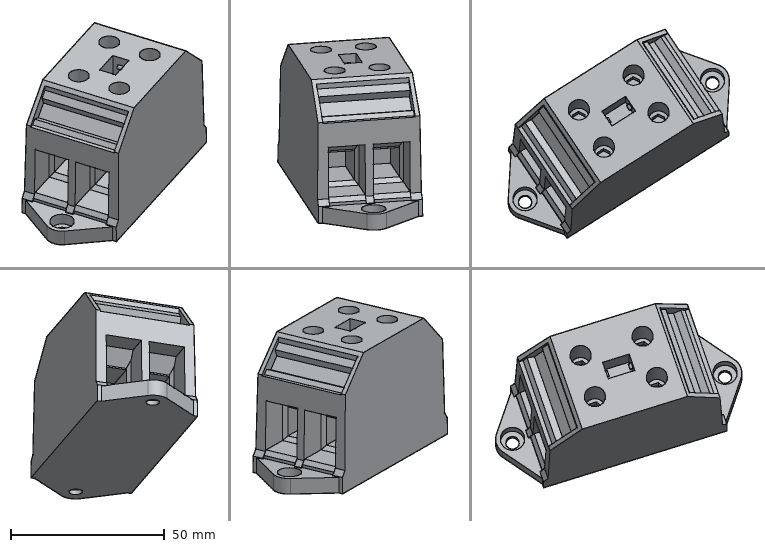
import cadquery as cq
import math

LENGTH = 83.7
WIDTH = 34.75
HEIGHT = 44.9

BASE_HEIGHT = 5.75
BASE_HALF_LENGTH = 31.4
TOP_WIDTH = 33.6
FOOT_HALF_LENGTH = 29.85
FOOT_TOP = 7.7
SHOULDER_HALF_LENGTH = 29.1
TOP_HALF_LENGTH = 18.0
BEVEL_RUN = SHOULDER_HALF_LENGTH - TOP_HALF_LENGTH
SHOULDER_HEIGHT = HEIGHT - BEVEL_RUN

EAR_HEIGHT = 5.5
EAR_RADIUS = 5.5
EAR_CENTER = LENGTH / 2 - EAR_RADIUS
EAR_ROOT_HALF_WIDTH = 16.0
EAR_HOLE_DIAMETER = 4.3
EAR_BORE_DIAMETER = 7.9
EAR_BORE_DEPTH = 3.9

TERMINAL_X = 7.45
SCREW_Y = 10.6
SCREW_HOLE_DIAMETER = 6.8
SCREW_HOLE_DEPTH = 12.0
HEX_ACROSS_FLATS = 4.1
HEX_SIDES = 6
HEX_DEPTH = 3.0

ENTRY_WIDTH = 12.2
ENTRY_TOP = 25.2
ENTRY_FLOOR = 8.05
FUNNEL_START = 19.6
FUNNEL_END = 17.9
FUNNEL_END_WIDTH = 10.1
FUNNEL_END_FLOOR = 9.35
FUNNEL_END_TOP = 19.95
CEILING_BREAK = 21.5
SILL_FACE = 30.65
SILL_BACK = 29.35
SILL_BEVEL_DROP = 1.5
WIRE_SIZE = 10.1
WIRE_END = 4.0

CHANNEL_WIDTH = 30.7
CHANNEL_TOP_Y = 19.2
CHANNEL_LEDGE_Z = 41.95
CHANNEL_LEDGE_RUN = 2.0
LEDGE_TO_LIP = 5.1
CHANNEL_WALL_LONG = 2.5
CHANNEL_WALL_SHORT = 1.0
CHANNEL_FLOOR_RUN = LEDGE_TO_LIP - CHANNEL_WALL_LONG + CHANNEL_WALL_SHORT
LIP_RUN = 1.4
CUT_MARGIN = 2.0

SLOT_WIDTH = 5.9
SLOT_LENGTH = 9.1
SLOT_DEPTH = 8.0
CATCH_RADIUS = 1.0
CATCH_WIDTH = 1.9
CATCH_UNDERSIDE_DEPTH = 4.0


def side_prism(points, width):
    """Extrude a closed (y, z) outline along X, centred on the YZ plane."""
    outline = cq.Workplane("YZ").polyline(points).close()
    return outline.extrude(width / 2, both=True)


def both_ends(feature):
    """Join a feature with its mirror image at the -Y end."""
    return feature.union(feature.mirror("XZ"))


def make_housing():
    """Bevelled block: the end profile along X, trimmed by the leaning sides."""
    plus_y_half = [
        (BASE_HALF_LENGTH, 0),
        (BASE_HALF_LENGTH, BASE_HEIGHT),
        (FOOT_HALF_LENGTH, FOOT_TOP),
        (SHOULDER_HALF_LENGTH, SHOULDER_HEIGHT),
        (TOP_HALF_LENGTH, HEIGHT),
    ]
    minus_y_half = [(-y, z) for y, z in reversed(plus_y_half)]
    block = side_prism(plus_y_half + minus_y_half, WIDTH)
    leaning_sides = (
        cq.Workplane("XZ")
        .polyline([
            (-WIDTH / 2, 0),
            (WIDTH / 2, 0),
            (TOP_WIDTH / 2, HEIGHT),
            (-TOP_WIDTH / 2, HEIGHT),
        ])
        .close()
        .extrude(LENGTH / 2, both=True)
    )
    return block.intersect(leaning_sides)


def make_ear():
    """Ear at the +Y end: straight flanks tangent to a round tip."""
    root_drop = EAR_CENTER - BASE_HALF_LENGTH
    root_distance = math.hypot(EAR_ROOT_HALF_WIDTH, root_drop)
    root_angle = math.atan2(root_drop, EAR_ROOT_HALF_WIDTH)
    tangent_angle = math.acos(EAR_RADIUS / root_distance) - root_angle
    tangent_x = EAR_RADIUS * math.cos(tangent_angle)
    tangent_y = EAR_CENTER + EAR_RADIUS * math.sin(tangent_angle)
    return (
        cq.Workplane("XY")
        .moveTo(-EAR_ROOT_HALF_WIDTH, 0)
        .lineTo(EAR_ROOT_HALF_WIDTH, 0)
        .lineTo(EAR_ROOT_HALF_WIDTH, BASE_HALF_LENGTH)
        .lineTo(tangent_x, tangent_y)
        .threePointArc((0, LENGTH / 2), (-tangent_x, tangent_y))
        .lineTo(-EAR_ROOT_HALF_WIDTH, BASE_HALF_LENGTH)
        .close()
        .extrude(EAR_HEIGHT)
    )


def make_ear_hole():
    """Counterbored mounting hole through the +Y ear."""
    hole = cq.Workplane("XY").circle(EAR_HOLE_DIAMETER / 2).extrude(EAR_HEIGHT)
    bore = (
        cq.Workplane("XY", origin=(0, 0, EAR_HEIGHT - EAR_BORE_DEPTH))
        .circle(EAR_BORE_DIAMETER / 2)
        .extrude(HEIGHT)
    )
    return hole.union(bore).translate((0, EAR_CENTER, 0))


def make_screw_hole(x_center):
    """Screw well in the top, with the hexagon socket of the screw in its floor."""
    floor = HEIGHT - SCREW_HOLE_DEPTH
    hex_corner_diameter = HEX_ACROSS_FLATS / math.cos(math.pi / HEX_SIDES)
    well = (
        cq.Workplane("XY", origin=(0, 0, floor))
        .circle(SCREW_HOLE_DIAMETER / 2)
        .extrude(SCREW_HOLE_DEPTH)
    )
    socket = (
        cq.Workplane("XY", origin=(0, 0, floor - HEX_DEPTH))
        .polygon(HEX_SIDES, hex_corner_diameter)
        .extrude(HEX_DEPTH)
        .rotate((0, 0, 0), (0, 0, 1), 90)
    )
    return well.union(socket).translate((x_center, SCREW_Y, 0))


def make_wire_entry(x_center):
    """Wire entry at the +Y end: sill, mouth, funnel and square hole."""
    ceiling_slope = (ENTRY_TOP - FUNNEL_END_TOP) / (CEILING_BREAK - FUNNEL_END)
    funnel_start_top = FUNNEL_END_TOP + ceiling_slope * (FUNNEL_START - FUNNEL_END)
    outside = BASE_HALF_LENGTH + CUT_MARGIN
    mouth = side_prism(
        [
            (FUNNEL_START, ENTRY_FLOOR),
            (SILL_BACK, ENTRY_FLOOR),
            (SILL_FACE, ENTRY_FLOOR - SILL_BEVEL_DROP),
            (SILL_FACE, EAR_HEIGHT),
            (outside, EAR_HEIGHT),
            (outside, ENTRY_TOP),
            (CEILING_BREAK, ENTRY_TOP),
            (FUNNEL_START, funnel_start_top),
        ],
        ENTRY_WIDTH,
    )
    start_height = funnel_start_top - ENTRY_FLOOR
    end_height = FUNNEL_END_TOP - FUNNEL_END_FLOOR
    start_middle = ENTRY_FLOOR + start_height / 2
    end_middle = FUNNEL_END_FLOOR + end_height / 2
    funnel = (
        cq.Workplane("XZ", origin=(0, FUNNEL_START, start_middle))
        .rect(ENTRY_WIDTH, start_height)
        .workplane(offset=FUNNEL_START - FUNNEL_END)
        .center(0, end_middle - start_middle)
        .rect(FUNNEL_END_WIDTH, end_height)
        .loft(ruled=True)
    )
    wire_hole = cq.Workplane("XY").box(
        WIRE_SIZE, FUNNEL_END - WIRE_END, WIRE_SIZE, centered=(True, False, False)
    ).translate((0, WIRE_END, FUNNEL_END_FLOOR))
    return mouth.union(funnel).union(wire_hole).translate((x_center, 0, 0))


def make_label_channel():
    """Channel in the +Y bevel.

    Its ledge, floor and lip run at 45 degrees, parallel to the bevel.
    """
    ledge_y = CHANNEL_TOP_Y + CHANNEL_LEDGE_RUN
    ledge_z = CHANNEL_LEDGE_Z - CHANNEL_LEDGE_RUN
    floor_top_y = ledge_y - CHANNEL_WALL_SHORT
    floor_top_z = ledge_z - CHANNEL_WALL_LONG
    floor_end_y = floor_top_y + CHANNEL_FLOOR_RUN
    floor_end_z = floor_top_z - CHANNEL_FLOOR_RUN
    lip_y = floor_end_y + CHANNEL_WALL_LONG
    lip_z = floor_end_z + CHANNEL_WALL_SHORT
    outside = SHOULDER_HALF_LENGTH + CUT_MARGIN
    return side_prism(
        [
            (CHANNEL_TOP_Y, HEIGHT),
            (CHANNEL_TOP_Y, CHANNEL_LEDGE_Z),
            (ledge_y, ledge_z),
            (floor_top_y, floor_top_z),
            (floor_end_y, floor_end_z),
            (lip_y, lip_z),
            (lip_y + LIP_RUN, lip_z - LIP_RUN),
            (outside, lip_z - LIP_RUN),
            (outside, HEIGHT),
        ],
        CHANNEL_WIDTH,
    )


def make_marker_slot():
    """Slot in the top, less a quarter-round catch in the middle of each end wall."""
    slot = (
        cq.Workplane("XY", origin=(0, 0, HEIGHT - SLOT_DEPTH))
        .rect(SLOT_WIDTH, SLOT_LENGTH)
        .extrude(SLOT_DEPTH)
    )
    catch = (
        cq.Workplane("YZ", origin=(0, SLOT_LENGTH / 2, HEIGHT - CATCH_UNDERSIDE_DEPTH))
        .lineTo(-CATCH_RADIUS, 0)
        .radiusArc((0, CATCH_RADIUS), CATCH_RADIUS)
        .close()
        .extrude(CATCH_WIDTH / 2, both=True)
    )
    return slot.cut(both_ends(catch))


result = make_housing().union(both_ends(make_ear()))
result = result.cut(both_ends(make_ear_hole()))
result = result.cut(both_ends(make_label_channel()))
for terminal_x in (-TERMINAL_X, TERMINAL_X):
    result = result.cut(both_ends(make_wire_entry(terminal_x)))
    result = result.cut(both_ends(make_screw_hole(terminal_x)))
result = result.cut(make_marker_slot())